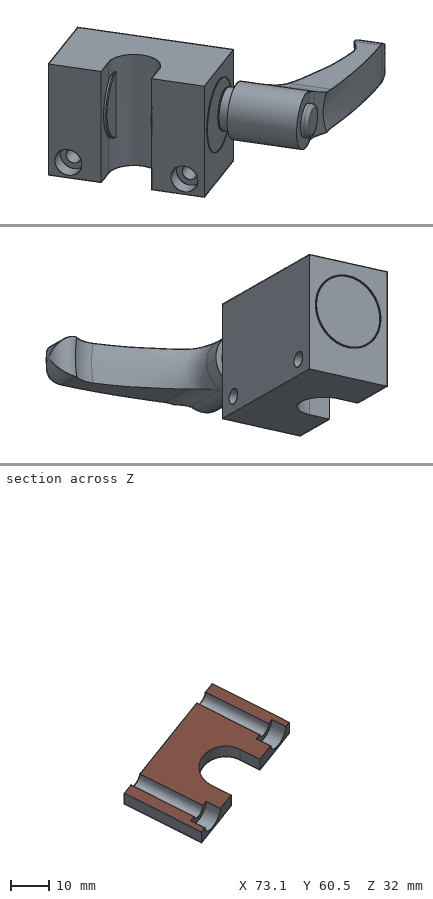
import cadquery as cq
import math

BLOCK_X = 43.0
BLOCK_Y = 24.0
BLOCK_Z = 32.0

SLOT_X = BLOCK_X / 2
SLOT_RADIUS = 6.95
SLOT_DEPTH = 13.1
SLOT_CENTER_Y = SLOT_DEPTH - SLOT_RADIUS

HOLE_DIAMETER = 4.2
COUNTERBORE_DIAMETER = 7.4
COUNTERBORE_DEPTH = 4.4
HOLE_INSET = 5.5
HOLE_Z = 4.45

PAD_DIAMETER = 20.0
PAD_Y = BLOCK_Y / 2
PAD_Z = 18.5
PAD_HALF_GAP = 6.1
PAD_CHAMFER = 0.3
PAD_PROTRUSION = 0.2
PAD_END = BLOCK_X + PAD_PROTRUSION
GROOVE_SIZE = 0.2

HUB_Y = 16.0
NECK_DIAMETER = 11.4
NECK_LENGTH = 0.4
COLLAR_DIAMETER = 11.8
COLLAR_START = PAD_END + NECK_LENGTH
HUB_DIAMETER = 15.5
HUB_START = 46.5
HUB_END = 65.6
SCREW_DIAMETER = 9.05
SCREW_END = 67.6
SCREW_FILLET = 1.0

ARM_START_X = 51.1
ARM_END_X = 73.1
ARM_TOP_Y = 60.45
ARM_HALF_WIDTH = 5.55
ARM_TIP_CENTER_Y = ARM_TOP_Y - ARM_HALF_WIDTH
FLARE_START_Y = 19.6
FLARE_END_Y = 25.0


def rod(start_x, end_x, diameter, center_y):
    """Cylinder along X, at the height of the pad axis."""
    return (
        cq.Workplane("YZ", origin=(start_x, center_y, PAD_Z))
        .circle(diameter / 2)
        .extrude(end_x - start_x)
    )


def make_slot():
    walls = cq.Workplane("XY").rect(2 * SLOT_RADIUS, 2 * SLOT_CENTER_Y).extrude(BLOCK_Z)
    bottom = cq.Workplane("XY").center(0, SLOT_CENTER_Y).circle(SLOT_RADIUS).extrude(BLOCK_Z)
    return walls.union(bottom).translate((SLOT_X, 0, 0))


def make_housing():
    """Slotted block with a fixed pad on one slot wall and a bore for the moving pad."""
    block = cq.Workplane("XY").box(BLOCK_X, BLOCK_Y, BLOCK_Z, centered=False).cut(make_slot())
    block = (
        block.faces("<Y").workplane(origin=(0, 0, 0))
        .pushPoints([(HOLE_INSET, HOLE_Z), (BLOCK_X - HOLE_INSET, HOLE_Z)])
        .cboreHole(HOLE_DIAMETER, COUNTERBORE_DIAMETER, COUNTERBORE_DEPTH)
    )
    fixed_pad = rod(0, SLOT_X - PAD_HALF_GAP, PAD_DIAMETER, PAD_Y).faces(">X").chamfer(PAD_CHAMFER)
    groove = rod(0, GROOVE_SIZE, PAD_DIAMETER, PAD_Y).cut(
        rod(0, GROOVE_SIZE, PAD_DIAMETER - 2 * GROOVE_SIZE, PAD_Y)
    )
    return block.union(fixed_pad).cut(groove).cut(make_moving_pad())


def make_moving_pad():
    return rod(SLOT_X + PAD_HALF_GAP, PAD_END, PAD_DIAMETER, PAD_Y).faces("<X").chamfer(PAD_CHAMFER)


def make_arm_undercut():
    """Space under the sloped face that joins the end of the hub to the overhanging arm."""
    return (
        cq.Workplane("XY")
        .moveTo(HUB_END, HUB_Y)
        .lineTo(HUB_END, 18.3)
        .threePointArc((65.85, 19.3), (66.35, 20.2))
        .lineTo(ARM_END_X, 25.5)
        .lineTo(ARM_END_X, HUB_Y)
        .close()
        .extrude(BLOCK_Z)
    )


def make_arm():
    """Curved outline turned about the hub axis, limited across its width by a flared root and a round tip."""
    outline = (
        cq.Workplane("XY", origin=(0, 0, PAD_Z))
        .moveTo(ARM_START_X, HUB_Y)
        .lineTo(ARM_START_X, HUB_Y + HUB_DIAMETER / 2)
        .spline(
            [(58.2, 27.05), (62.3, 34.4), (67.45, 49.0)],
            tangents=[(1, 0), (1, 4)],
            includeCurrent=True,
        )
        .threePointArc((67.45, 51.6), (65.85, 54.95))
        .threePointArc((66.65, 58.6), (70.45, ARM_TOP_Y))
        .threePointArc((72.3, 59.85), (ARM_END_X, 58.4))
        .threePointArc((71.8, 38.3), (68.3, 21.6))
        .lineTo(HUB_END, HUB_Y)
        .close()
        .revolve(360, (0, HUB_Y, 0), (1, HUB_Y, 0))
    )
    flare_half_width = math.sqrt((HUB_DIAMETER / 2) ** 2 - (FLARE_START_Y - HUB_Y) ** 2)
    tangent_run = (FLARE_END_Y - FLARE_START_Y) / 2
    flare_mid_y = FLARE_START_Y + tangent_run
    flare_mid_width = ARM_HALF_WIDTH + (flare_half_width - ARM_HALF_WIDTH) / 4
    cross_width = (
        cq.Workplane("YZ", origin=(0, 0, PAD_Z))
        .moveTo(HUB_Y, -flare_half_width)
        .lineTo(FLARE_START_Y, -flare_half_width)
        .threePointArc((flare_mid_y, -flare_mid_width), (FLARE_END_Y, -ARM_HALF_WIDTH))
        .lineTo(ARM_TIP_CENTER_Y, -ARM_HALF_WIDTH)
        .threePointArc((ARM_TOP_Y, 0), (ARM_TIP_CENTER_Y, ARM_HALF_WIDTH))
        .lineTo(FLARE_END_Y, ARM_HALF_WIDTH)
        .threePointArc((flare_mid_y, flare_mid_width), (FLARE_START_Y, flare_half_width))
        .lineTo(HUB_Y, flare_half_width)
        .close()
        .extrude(ARM_END_X)
    )
    return outline.intersect(cross_width).cut(make_arm_undercut())


def make_clamp_lever():
    neck = rod(PAD_END, COLLAR_START, NECK_DIAMETER, HUB_Y)
    collar = rod(COLLAR_START, HUB_START, COLLAR_DIAMETER, HUB_Y)
    hub = rod(HUB_START, HUB_END, HUB_DIAMETER, HUB_Y)
    screw = rod(HUB_END, SCREW_END, SCREW_DIAMETER, HUB_Y).faces(">X").edges().fillet(SCREW_FILLET)
    return make_moving_pad().union(neck).union(collar).union(hub).union(make_arm()).union(screw)


housing = make_housing()
clamp_lever = make_clamp_lever()

result = cq.Compound.makeCompound([housing.val(), clamp_lever.val()])